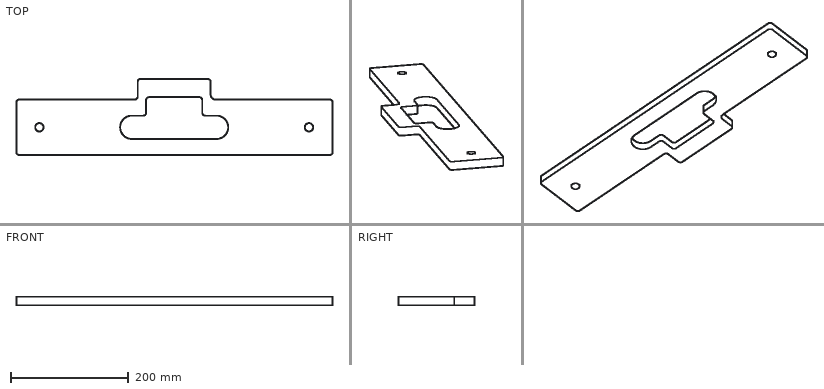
import cadquery as cq

plate_length = 540.0
plate_width = 95.0
thickness = 15.0
corner_radius = 5.0
right_tab_root_radius = 8.0

opening_center_x = plate_length / 2 - 0.5
tab_length = 125.0
overall_width = 130.0
slot_length = 184.0
slot_width = 39.5
window_length = 95.5
window_rear_y = 99.0
window_radius = 5.0

hole_diameter = 14.0
hole_spacing = 460.0

center_y = plate_width / 2


def block(length, y_start, y_end, center_x):
    """Full-thickness block spanning y_start to y_end."""
    return (
        cq.Workplane("XY")
        .center(center_x, (y_start + y_end) / 2)
        .rect(length, y_end - y_start)
        .extrude(thickness)
    )


def make_body():
    plate = block(plate_length, 0, plate_width, plate_length / 2)
    tab = block(tab_length, center_y, overall_width, opening_center_x)
    body = plate.union(tab)
    right_root = cq.selectors.NearestToPointSelector(
        (opening_center_x + tab_length / 2, plate_width, thickness / 2)
    )
    body = body.edges("|Z").edges(cq.selectors.InverseSelector(right_root)).fillet(corner_radius)
    return body.edges("|Z").edges(right_root).fillet(right_tab_root_radius)


def make_opening():
    slot_rear_y = center_y + slot_width / 2
    slot = (
        cq.Workplane("XY")
        .center(opening_center_x, center_y)
        .slot2D(slot_length, slot_width)
        .extrude(thickness)
    )
    window = block(window_length, center_y, window_rear_y, opening_center_x)
    margin = 0.5
    corners = cq.selectors.BoxSelector(
        (opening_center_x - window_length / 2 - margin, slot_rear_y - margin, 0),
        (opening_center_x + window_length / 2 + margin, window_rear_y + margin, thickness),
    )
    return slot.union(window).edges("|Z").edges(corners).fillet(window_radius)


def make_holes():
    half_spacing = hole_spacing / 2
    return (
        cq.Workplane("XY")
        .center(opening_center_x, center_y)
        .pushPoints([(-half_spacing, 0), (half_spacing, 0)])
        .circle(hole_diameter / 2)
        .extrude(thickness)
    )


result = make_body().cut(make_opening()).cut(make_holes())